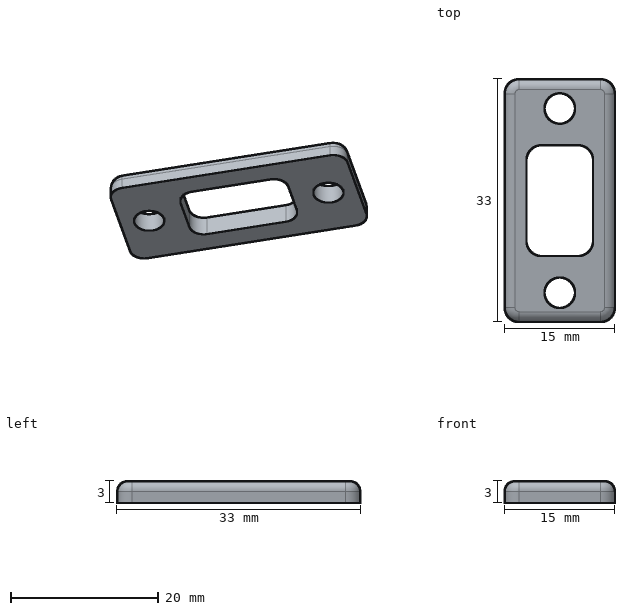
import cadquery as cq

width = 15.0
length = 33.0
thickness = 3.0
corner_radius = 2.0
top_edge_radius = 1.42

window_width = 9.0
window_length = 15.0
window_corner_radius = 2.0

hole_diameter = 4.1
hole_spacing = 25.0


def rounded_block(size_x, size_y, radius):
    """Block of plate thickness standing on Z = 0, with rounded vertical edges."""
    block = cq.Workplane("XY").box(size_x, size_y, thickness, centered=(True, True, False))
    return block.edges("|Z").fillet(radius)


def plate_body():
    """Plate with rounded corners and a rounded upper rim."""
    block = rounded_block(width, length, corner_radius)
    return block.faces(">Z").edges().fillet(top_edge_radius)


def screw_holes():
    """Cylinders for the two through holes."""
    centres = [(0, -hole_spacing / 2), (0, hole_spacing / 2)]
    return cq.Workplane("XY").pushPoints(centres).circle(hole_diameter / 2).extrude(thickness)


window = rounded_block(window_width, window_length, window_corner_radius)
result = plate_body().cut(window).cut(screw_holes())